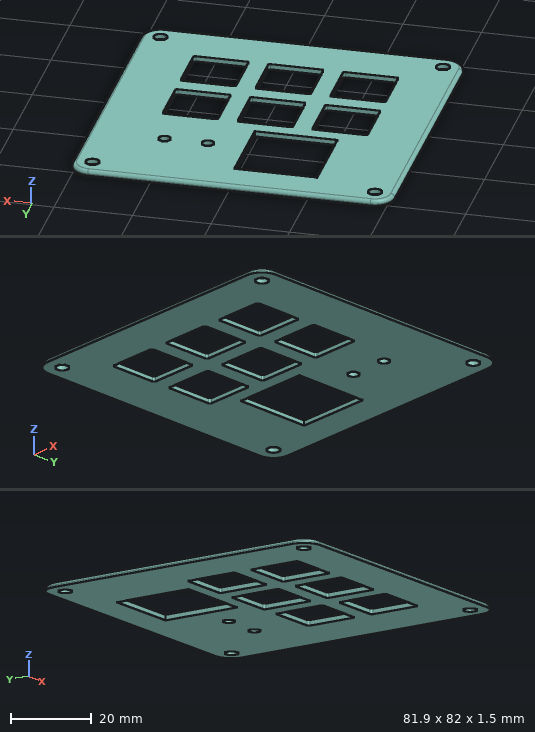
import cadquery as cq

plate_length_x = 81.94
plate_length_y = 82.0
plate_thickness = 1.5
plate_corner_radius = 5.0
top_edge_radius = 1.0

mounting_hole_diameter = 3.4
mounting_hole_inset = plate_corner_radius

key_cutout_size = 14.0
key_cutout_corner_radius = 0.5
key_pitch = 19.05
key_columns = 3
key_rows = 2
key_grid_centre = (-0.6, -11.0)

window_length_x = 21.0
window_length_y = 21.5
window_centre = (-9.6, 20.7)

small_hole_diameter = 3.0
small_hole_spacing = 11.0
small_hole_pair_centre = (16.15, 19.15)


def make_plate():
    """Plate with rounded corners and a rounded upper rim."""
    plate = cq.Workplane("XY").box(
        plate_length_x, plate_length_y, plate_thickness, centered=(True, True, False)
    )
    plate = plate.edges("|Z").fillet(plate_corner_radius)
    return plate.faces(">Z").edges().fillet(top_edge_radius)


def through_cutter(outline):
    """Extrude a closed outline through the full plate thickness."""
    return outline.extrude(plate_thickness)


def make_mounting_holes():
    """One hole near each plate corner."""
    spacing_x = plate_length_x - 2 * mounting_hole_inset
    spacing_y = plate_length_y - 2 * mounting_hole_inset
    centres = cq.Workplane("XY").rarray(spacing_x, spacing_y, 2, 2)
    return through_cutter(centres.circle(mounting_hole_diameter / 2))


def make_key_cutouts():
    """Grid of square cutouts with slightly rounded corners."""
    grid = cq.Workplane("XY").center(*key_grid_centre)
    grid = grid.rarray(key_pitch, key_pitch, key_columns, key_rows)
    cutouts = through_cutter(grid.rect(key_cutout_size, key_cutout_size))
    return cutouts.edges("|Z").fillet(key_cutout_corner_radius)


def make_window():
    """Sharp-cornered rectangular opening."""
    outline = cq.Workplane("XY").center(*window_centre)
    return through_cutter(outline.rect(window_length_x, window_length_y))


def make_small_holes():
    """Two round holes side by side along X."""
    pair = cq.Workplane("XY").center(*small_hole_pair_centre)
    pair = pair.pushPoints([(-small_hole_spacing / 2, 0), (small_hole_spacing / 2, 0)])
    return through_cutter(pair.circle(small_hole_diameter / 2))


result = (
    make_plate()
    .cut(make_mounting_holes())
    .cut(make_key_cutouts())
    .cut(make_window())
    .cut(make_small_holes())
)